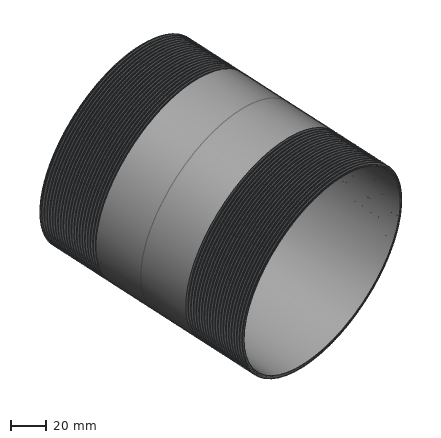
import cadquery as cq
import math

pipe_length = 150.0
outer_diameter = 139.6
bore_diameter = 135.8
thread_length = 41.7
turns_per_length = 75
turns_cut = 22
overshoot = 0.2
seam_angle = 180.0
flank_angle = 30.0

outer_radius = outer_diameter / 2
half_length = pipe_length / 2

pitch = pipe_length / turns_per_length
crest_flat = pitch / 8
root_flat = pitch / 4
flank_slope = math.tan(math.radians(flank_angle))
groove_depth = (pitch - crest_flat - root_flat) / 2 / flank_slope
cutter_half_width = (pitch - crest_flat) / 2 + overshoot * flank_slope


def make_half_pipe():
    """Plain tube from the -X end to mid-length."""
    return (
        cq.Workplane("YZ", origin=(-half_length, 0, 0))
        .circle(outer_radius)
        .circle(bore_diameter / 2)
        .extrude(half_length)
        .rotate((0, 0, 0), (1, 0, 0), seam_angle)
    )


def make_groove_cutter():
    """Right-handed helical groove of the -X end, starting and stopping on the +Y side."""
    helix_length = turns_cut * pitch
    start_x = -half_length + thread_length - helix_length
    helix = cq.Wire.makeHelix(
        pitch, helix_length, outer_radius, cq.Vector(start_x, 0, 0), cq.Vector(1, 0, 0)
    )
    start = helix.startPoint()
    start_angle = math.degrees(math.atan2(start.z, start.y))
    helix = helix.rotate(cq.Vector(0, 0, 0), cq.Vector(1, 0, 0), -start_angle)

    root_radius = outer_radius - groove_depth
    section = [
        (start_x - cutter_half_width, outer_radius + overshoot),
        (start_x - root_flat / 2, root_radius),
        (start_x + root_flat / 2, root_radius),
        (start_x + cutter_half_width, outer_radius + overshoot),
    ]
    return cq.Workplane("XY").polyline(section).close().sweep(cq.Workplane(helix), isFrenet=True)


threaded_half = make_half_pipe().cut(make_groove_cutter())
result = threaded_half.union(threaded_half.mirror("YZ"))